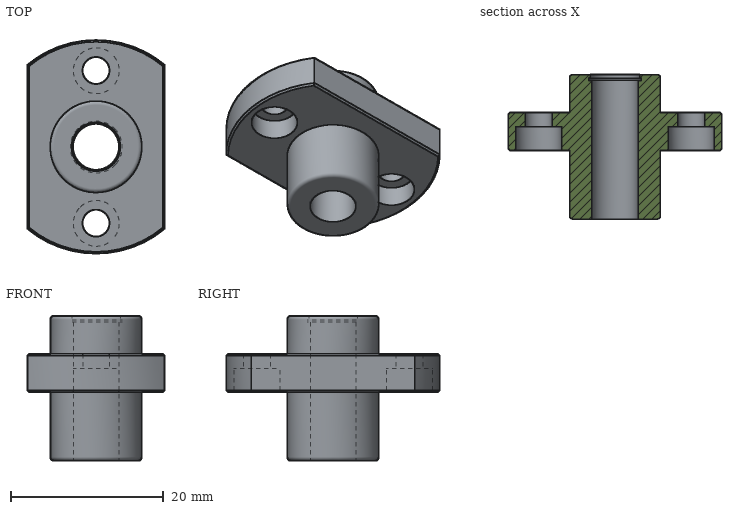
import cadquery as cq

sleeve_diameter = 12.0
sleeve_length = 19.0
sleeve_end_fillet = 0.5

flange_diameter = 28.0
flange_width = 18.0
flange_thickness = 5.0
flange_chamfer = 0.25
length_above_flange = 5.0

mounting_hole_diameter = 3.5
mounting_hole_spacing = 20.0
counterbore_diameter = 6.0
counterbore_depth = 3.1

bore_diameter = 6.0
lip_diameter = 6.4
lip_thickness = 0.5
groove_diameter = 6.8
recess_depth = 0.8

flange_top = sleeve_length - length_above_flange
flange_bottom = flange_top - flange_thickness


def cylinder(diameter, bottom, top):
    """Round bar on the Z axis between two heights."""
    return cq.Workplane("XY").workplane(offset=bottom).circle(diameter / 2).extrude(top - bottom)


def make_sleeve():
    """Outer body of the bushing with both end edges rounded."""
    return cylinder(sleeve_diameter, 0, sleeve_length).faces("<Z or >Z").edges().fillet(sleeve_end_fillet)


def make_flange():
    """Disc trimmed to the flange width, chamfered all round, with counterbored mounting holes."""
    disc = cylinder(flange_diameter, flange_bottom, flange_top)
    trim = (
        cq.Workplane("XY")
        .workplane(offset=flange_bottom)
        .rect(flange_width, flange_diameter)
        .extrude(flange_thickness)
    )
    plate = disc.intersect(trim).faces("<Z or >Z").edges().chamfer(flange_chamfer)
    hole_offset = mounting_hole_spacing / 2
    return (
        plate.faces("<Z")
        .workplane(origin=(0, 0, flange_bottom))
        .pushPoints([(0, -hole_offset), (0, hole_offset)])
        .cboreHole(mounting_hole_diameter, counterbore_diameter, counterbore_depth)
    )


def make_bore():
    """Through bore plus the top recess, which widens below its lip."""
    lip_bottom = sleeve_length - lip_thickness
    recess_floor = sleeve_length - recess_depth
    bore = cylinder(bore_diameter, 0, sleeve_length)
    groove = cylinder(groove_diameter, recess_floor, lip_bottom)
    lip_opening = cylinder(lip_diameter, lip_bottom, sleeve_length)
    return bore.union(groove).union(lip_opening)


result = make_sleeve().union(make_flange()).cut(make_bore())